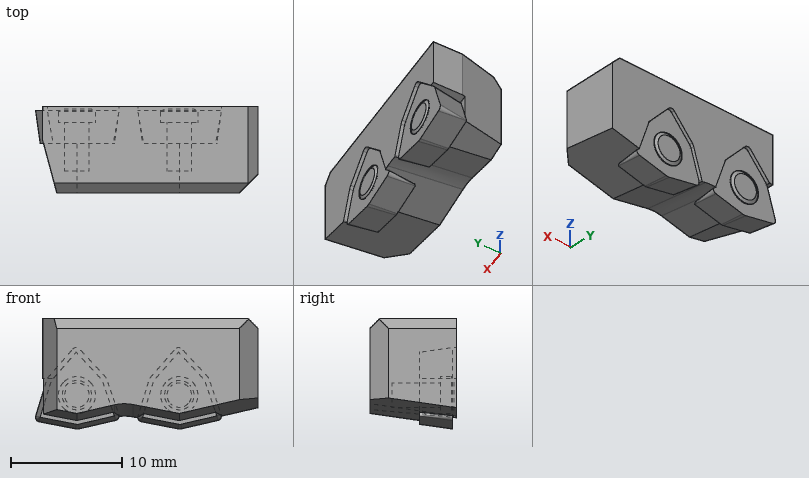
import cadquery as cq
import math

LENGTH = 20.02
DEPTH = 7.8
HEIGHT = 9.95
LEFT_FACE_X = 0.65
LEFT_TAPER_Y = 4.76
LEFT_TAPER_ANGLE = 15.0
TOP_CHAMFER = 0.9
FRONT_RIGHT_CHAMFER = 1.68
VALLEY_RADIUS = 4.0
FRONT_NOSE_Z = 1.4

INSERT_COUNT = 2
INSERT_PITCH = 9.2
INSERT_TILT = 1.0
BLUNT_HALF_TURN = 12.0
INRADIUS = 3.0
SHARP_RADIUS = 0.42
BLUNT_RADIUS = 0.9
INSERT_THICKNESS = 2.98
INSERT_FACE_Y = 7.45
RELIEF_ANGLE = 8.0

HEAD_DIAMETER = 3.35
HEAD_TOP_DIAMETER = 2.65
HEAD_PROUD = 0.1
CROWN_HEIGHT = 0.2
HEAD_HEIGHT = 1.2
SHANK_DIAMETER = 2.2
SHANK_END_Y = 2.0

CORNER_STEP = 120.0
SHARP_HALF_TURN = CORNER_STEP / 2 - BLUNT_HALF_TURN
HEAD_TOP_Y = INSERT_FACE_Y + HEAD_PROUD
HEAD_BOTTOM_Y = HEAD_TOP_Y - HEAD_HEIGHT
POCKET_FLOOR_Y = INSERT_FACE_Y - INSERT_THICKNESS
BLUNT_ANGLE = -90.0 + INSERT_TILT


def polar(radius, degrees):
    """Vector of the given length and direction in the XZ plane."""
    angle = math.radians(degrees)
    return cq.Vector(radius * math.cos(angle), radius * math.sin(angle))


def round_centre(direction, half_turn, radius):
    """Centre of a corner rounding, seen from the insert centre."""
    distance = (INRADIUS - radius) / math.cos(math.radians(half_turn))
    return polar(distance, direction)


LEFT_CORNER_ANGLE = BLUNT_ANGLE - CORNER_STEP / 2
CENTRE_X = SHARP_RADIUS - round_centre(LEFT_CORNER_ANGLE, SHARP_HALF_TURN, SHARP_RADIUS).x
CENTRE_Z = BLUNT_RADIUS - round_centre(BLUNT_ANGLE, BLUNT_HALF_TURN, BLUNT_RADIUS).y
INSERT_CENTRES = [cq.Vector(CENTRE_X + i * INSERT_PITCH, CENTRE_Z) for i in range(INSERT_COUNT)]


def insert_outline(centre):
    """Cutting-face outline: six rounded corners joined by straight sides."""
    corners = []
    for i in range(3):
        blunt = BLUNT_ANGLE + CORNER_STEP * i
        corners.append((blunt, BLUNT_HALF_TURN, BLUNT_RADIUS))
        corners.append((blunt + CORNER_STEP / 2, SHARP_HALF_TURN, SHARP_RADIUS))

    outline = cq.Workplane("XZ", origin=(0, INSERT_FACE_Y, 0))
    for i, (direction, half_turn, radius) in enumerate(corners):
        middle = centre + round_centre(direction, half_turn, radius)
        start = middle + polar(radius, direction - half_turn)
        tip = middle + polar(radius, direction)
        end = middle + polar(radius, direction + half_turn)
        outline = outline.moveTo(start.x, start.y) if i == 0 else outline.lineTo(start.x, start.y)
        outline = outline.threePointArc((tip.x, tip.y), (end.x, end.y))
    return outline.close()


def insert_blank(centre):
    """Solid insert without its screw hole, narrowing from the cutting face to the pocket floor."""
    return insert_outline(centre).extrude(INSERT_THICKNESS, taper=RELIEF_ANGLE)


def screw(centre):
    """Screw along Y: shank, round head and conical crown."""
    half_profile = [
        (0, SHANK_END_Y),
        (SHANK_DIAMETER / 2, SHANK_END_Y),
        (SHANK_DIAMETER / 2, HEAD_BOTTOM_Y),
        (HEAD_DIAMETER / 2, HEAD_BOTTOM_Y),
        (HEAD_DIAMETER / 2, HEAD_TOP_Y - CROWN_HEIGHT),
        (HEAD_TOP_DIAMETER / 2, HEAD_TOP_Y),
        (0, HEAD_TOP_Y),
    ]
    body = cq.Workplane("XY").polyline(half_profile).close().revolve(360, (0, 0), (0, 1))
    return body.translate((centre.x, 0, centre.y))


def screw_bore(centre, diameter, start_y, end_y):
    """Cylinder along Y that removes the material around a screw."""
    bore = cq.Workplane("XZ", origin=(centre.x, end_y, centre.y)).circle(diameter / 2)
    return bore.extrude(end_y - start_y)


def insert(centre):
    """Insert with a counterbored hole that its screw fills."""
    shank_bore = screw_bore(centre, SHANK_DIAMETER, POCKET_FLOOR_Y, HEAD_BOTTOM_Y)
    head_bore = screw_bore(centre, HEAD_DIAMETER, HEAD_BOTTOM_Y, INSERT_FACE_Y)
    return insert_blank(centre).cut(shank_bore).cut(head_bore).solids()


def holder_plan():
    """Full-height block with its slanted left end and chamfered front right edge."""
    slant = LEFT_TAPER_Y * math.tan(math.radians(LEFT_TAPER_ANGLE))
    plan = [
        (LEFT_FACE_X, DEPTH),
        (LEFT_FACE_X, LEFT_TAPER_Y),
        (LEFT_FACE_X + slant, 0),
        (LENGTH - FRONT_RIGHT_CHAMFER, 0),
        (LENGTH, FRONT_RIGHT_CHAMFER),
        (LENGTH, DEPTH),
    ]
    return cq.Workplane("XY").polyline(plan).close().extrude(HEIGHT)


def chamfered_box():
    """Outer box with chamfers along the front and right edges of the top face."""
    box = cq.Workplane("XY").box(LENGTH, DEPTH, HEIGHT, centered=False)
    return box.faces(">Z").edges("<Y or >X").chamfer(TOP_CHAMFER)


def bottom_profile_solid():
    """Material above the zigzag bottom, which follows the inserts and drops towards the back."""
    fall = math.tan(math.radians(BLUNT_HALF_TURN - INSERT_TILT))
    rise = math.tan(math.radians(BLUNT_HALF_TURN + INSERT_TILT))
    nose_1 = CENTRE_X
    nose_2 = CENTRE_X + INSERT_PITCH
    valley_x = nose_1 + INSERT_PITCH * fall / (rise + fall)
    valley_z = FRONT_NOSE_Z + (valley_x - nose_1) * rise

    tangent_length = VALLEY_RADIUS * math.tan(math.radians(BLUNT_HALF_TURN))
    apex_drop = VALLEY_RADIUS * (1 / math.cos(math.radians(BLUNT_HALF_TURN)) - 1)
    valley = cq.Vector(valley_x, valley_z)
    arc_start = valley + polar(tangent_length, 180 + BLUNT_HALF_TURN + INSERT_TILT)
    arc_middle = valley + polar(apex_drop, BLUNT_ANGLE)
    arc_end = valley + polar(tangent_length, -BLUNT_HALF_TURN + INSERT_TILT)

    above_top = 2 * HEIGHT
    outline = (
        cq.Workplane("XZ")
        .moveTo(0, above_top)
        .lineTo(0, FRONT_NOSE_Z + nose_1 * fall)
        .lineTo(nose_1, FRONT_NOSE_Z)
        .lineTo(arc_start.x, arc_start.y)
        .threePointArc((arc_middle.x, arc_middle.y), (arc_end.x, arc_end.y))
        .lineTo(nose_2, FRONT_NOSE_Z)
        .lineTo(LENGTH, FRONT_NOSE_Z + (LENGTH - nose_2) * rise)
        .lineTo(LENGTH, above_top)
        .close()
    )
    drop = DEPTH * math.tan(math.radians(RELIEF_ANGLE)) / math.cos(math.radians(BLUNT_HALF_TURN))
    return cq.Solid.extrudeLinear(outline.val(), [], cq.Vector(0, DEPTH, -drop))


def left_opening():
    """Opens the first pocket to the left, up to its blunt upper corner."""
    distance = INRADIUS / math.cos(math.radians(BLUNT_HALF_TURN))
    ceiling_z = CENTRE_Z + polar(distance, BLUNT_ANGLE - CORNER_STEP).y
    opening = cq.Workplane("XY", origin=(0, POCKET_FLOOR_Y, 0))
    return opening.box(CENTRE_X, DEPTH - POCKET_FLOOR_Y, ceiling_z, centered=False)


def holder():
    """Block with its chamfers, zigzag bottom, insert pockets and screw holes."""
    body = chamfered_box().intersect(holder_plan())
    body = body.intersect(cq.Workplane(bottom_profile_solid()))
    body = body.cut(left_opening())
    for centre in INSERT_CENTRES:
        open_end = insert_outline(centre).extrude(INSERT_FACE_Y - DEPTH)
        body = body.cut(insert_blank(centre)).cut(open_end)
        body = body.cut(screw_bore(centre, SHANK_DIAMETER, SHANK_END_Y, POCKET_FLOOR_Y))
    return body.solids()


inserts = [insert(centre) for centre in INSERT_CENTRES]
screws = [screw(centre) for centre in INSERT_CENTRES]

result = cq.Compound.makeCompound(
    [holder().val(), *[body.val() for body in inserts], *[body.val() for body in screws]]
)